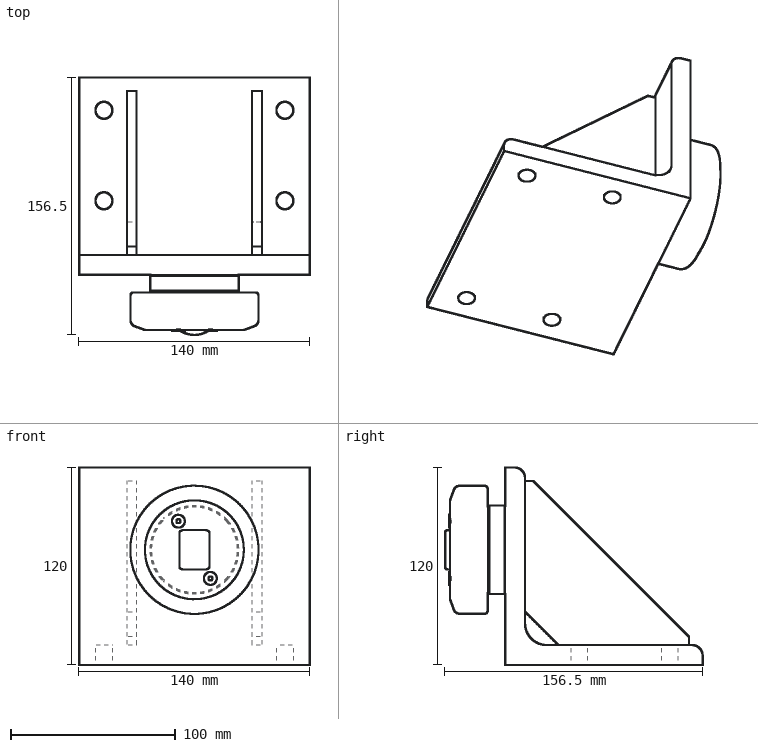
import cadquery as cq
import math

bracket_width = 140.0
leg_length = 120.0
leg_thickness = 12.2
root_radius = 13.0
toe_radius = 6.5

rib_thickness = 6.0
rib_inner_x = 35.0
rib_reach = 111.7
rib_end_height = 5.0
rib_corner_cut = 20.0

hole_diameter = 10.2
hole_x = 55.0
hole_y_positions = (45.0, 100.0)

axis_height = 70.0
hub_radius = 54.0 / 2
hub_end_radius = 52.0 / 2
hub_end_chamfer = hub_radius - hub_end_radius
hub_wall_chamfer = 0.5
wheel_radius = 39.0
wheel_back = 10.5
wheel_face = 33.5
back_fillet = 2.0
front_radius = 4.0
flat_face_radius = 30.0
cone_outer_radius = 36.3

overall_depth = 156.5
roller_tip = overall_depth - leg_length
roller_width = 18.2
roller_length = 24.0
roller_end_fillet = 1.5

screw_x = 9.7
screw_z = 17.4
screw_diameter = 7.8
screw_protrusion = 0.5
socket_diameter = 2.5
socket_depth = 1.5


def make_angle():
    """L section with a rounded root and rounded toes."""
    section = (
        cq.Workplane("YZ")
        .polyline([
            (0, 0), (leg_length, 0), (leg_length, leg_thickness),
            (leg_thickness, leg_thickness), (leg_thickness, leg_length), (0, leg_length),
        ])
        .close()
        .extrude(bracket_width / 2, both=True)
    )

    def edge_at(y, z):
        return cq.selectors.NearestToPointSelector((0, y, z))

    section = section.edges(edge_at(leg_thickness, leg_thickness)).fillet(root_radius)
    section = section.edges(edge_at(leg_length, leg_thickness)).fillet(toe_radius)
    return section.edges(edge_at(leg_thickness, leg_length)).fillet(toe_radius)


def make_rib(start_x):
    """Triangular rib with blunt tips and a clipped inner corner."""
    inner = leg_thickness
    tip = leg_thickness + rib_end_height
    clip = leg_thickness + rib_corner_cut
    return (
        cq.Workplane("YZ", origin=(start_x, 0, 0))
        .polyline([
            (clip, inner), (rib_reach, inner), (rib_reach, tip),
            (tip, rib_reach), (inner, rib_reach), (inner, clip),
        ])
        .close()
        .extrude(rib_thickness)
    )


def make_wheel():
    """Hub and rounded wheel, revolved about the axis along Y."""
    sweep = math.acos(1 - (wheel_radius - cone_outer_radius) / front_radius)
    cone_depth = (cone_outer_radius - flat_face_radius) / math.tan(sweep)
    cone_start = wheel_face - cone_depth
    rim_end = cone_start - front_radius * math.sin(sweep)
    arc_centre_radius = wheel_radius - front_radius
    arc_middle = (
        arc_centre_radius + front_radius * math.cos(sweep / 2),
        -rim_end - front_radius * math.sin(sweep / 2),
    )
    back_offset = back_fillet * (1 - math.sqrt(0.5))
    return (
        cq.Workplane("XY", origin=(0, 0, axis_height))
        .lineTo(hub_radius - hub_wall_chamfer, 0)
        .lineTo(hub_radius, -hub_wall_chamfer)
        .lineTo(hub_radius, hub_end_chamfer - wheel_back)
        .lineTo(hub_end_radius, -wheel_back)
        .lineTo(wheel_radius - back_fillet, -wheel_back)
        .threePointArc(
            (wheel_radius - back_offset, -wheel_back - back_offset),
            (wheel_radius, -wheel_back - back_fillet),
        )
        .lineTo(wheel_radius, -rim_end)
        .threePointArc(arc_middle, (cone_outer_radius, -cone_start))
        .lineTo(flat_face_radius, -wheel_face)
        .lineTo(0, -wheel_face)
        .close()
        .revolve(360, (0, 0, 0), (0, 1, 0))
    )


def make_roller():
    """Vertical roller with rounded ends, sunk so that only a cap shows."""
    height = roller_tip - wheel_face
    radius = ((roller_width / 2) ** 2 + height ** 2) / (2 * height)
    roller = (
        cq.Workplane("XY", origin=(0, radius - roller_tip, axis_height))
        .circle(radius)
        .extrude(roller_length / 2, both=True)
        .edges()
        .fillet(roller_end_fillet)
    )
    keep_depth = roller_tip - wheel_back - hub_end_chamfer
    keep = cq.Workplane("XY").box(2 * radius, keep_depth, roller_length)
    return roller.intersect(keep.translate((0, keep_depth / 2 - roller_tip, axis_height)))


def make_screw_cylinder(side, diameter, depth):
    """Cylinder at one screw position, reaching inward from the screw head's front."""
    front = -wheel_face - screw_protrusion
    return (
        cq.Workplane("XZ", origin=(side * screw_x, front, axis_height - side * screw_z))
        .circle(diameter / 2)
        .extrude(-depth)
    )


result = make_angle()
for rib_start in (rib_inner_x, -rib_inner_x - rib_thickness):
    result = result.union(make_rib(rib_start))

hole_points = [(x, y) for x in (-hole_x, hole_x) for y in hole_y_positions]
holes = cq.Workplane("XY").pushPoints(hole_points).circle(hole_diameter / 2).extrude(leg_thickness)
result = result.cut(holes).union(make_wheel()).union(make_roller())

for side in (-1, 1):
    result = result.union(make_screw_cylinder(side, screw_diameter, socket_depth))
    result = result.cut(make_screw_cylinder(side, socket_diameter, socket_depth))